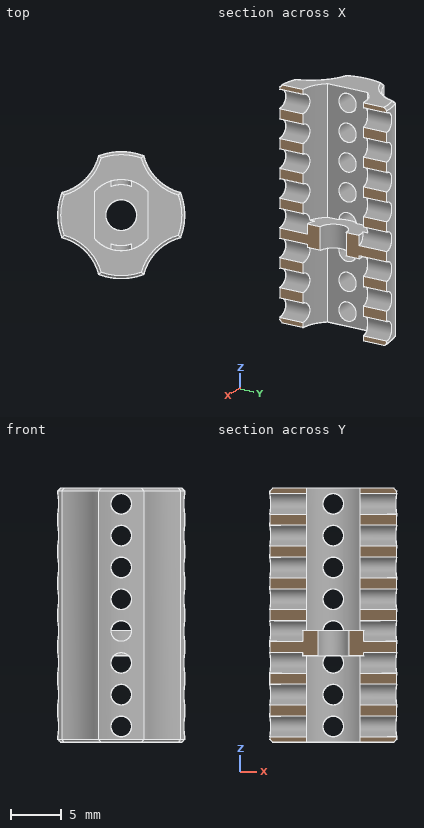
import cadquery as cq

LENGTH = 25.0
BODY_DIAMETER = 12.5
FLUTE_COUNT = 4
FLUTE_RADIUS = 5.0
FLUTE_CENTER_DISTANCE = 10.0
EDGE_CHAMFER = 0.3

SOCKET_DIAMETER = 7.0
SOCKET_WIDTH_ACROSS_FLATS = 5.25
WEB_BOTTOM = 8.5
WEB_TOP = 11.0
WEB_CORE_DIAMETER = 6.0
WEB_BORE_DIAMETER = 3.0

CROSS_HOLE_DIAMETER = 2.0
CROSS_HOLES_PER_ROW = 8
CROSS_HOLE_PITCH = LENGTH / CROSS_HOLES_PER_ROW


def cylinder(diameter, bottom, top):
    """Upright cylinder on the Z axis between two heights."""
    return cq.Workplane("XY").workplane(offset=bottom).circle(diameter / 2).extrude(top - bottom)


def fluted_body():
    """Round bar with concave flutes on the diagonals and chamfered end rims."""
    flute_step = 360.0 / FLUTE_COUNT
    flutes = (
        cq.Workplane("XY")
        .polarArray(FLUTE_CENTER_DISTANCE, flute_step / 2, 360, FLUTE_COUNT)
        .circle(FLUTE_RADIUS)
        .extrude(LENGTH)
    )
    body = cylinder(BODY_DIAMETER, 0, LENGTH).cut(flutes)
    return body.faces("<Z or >Z").chamfer(EDGE_CHAMFER)


def socket(bottom, top):
    """Round socket with two flats facing along X."""
    flats = (
        cq.Workplane("XY")
        .workplane(offset=bottom)
        .rect(SOCKET_WIDTH_ACROSS_FLATS, SOCKET_DIAMETER)
        .extrude(top - bottom)
    )
    return cylinder(SOCKET_DIAMETER, bottom, top).intersect(flats)


def cross_holes(plane):
    """Row of holes running right across the body, normal to the given plane."""
    centers = [(0, (i + 0.5) * CROSS_HOLE_PITCH) for i in range(CROSS_HOLES_PER_ROW)]
    return (
        cq.Workplane(plane)
        .pushPoints(centers)
        .circle(CROSS_HOLE_DIAMETER / 2)
        .extrude(BODY_DIAMETER / 2, both=True)
    )


result = fluted_body()
result = result.cut(socket(WEB_TOP, LENGTH))
result = result.cut(socket(0, WEB_BOTTOM))

for hole_plane in ("XZ", "YZ"):
    result = result.cut(cross_holes(hole_plane))

result = result.union(cylinder(WEB_CORE_DIAMETER, WEB_BOTTOM, WEB_TOP))
result = result.cut(cylinder(WEB_BORE_DIAMETER, WEB_BOTTOM, WEB_TOP))